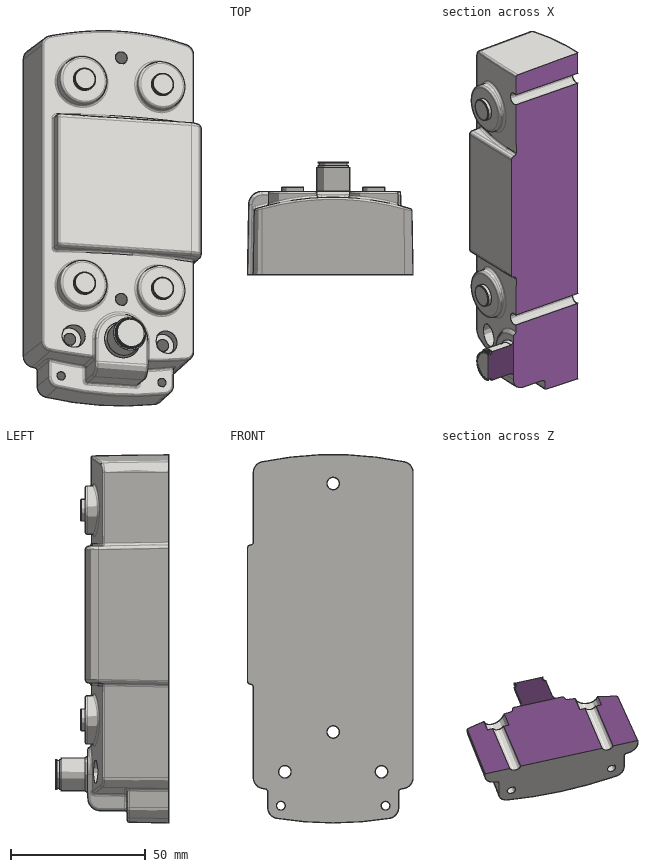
import cadquery as cq
import math

HEIGHT = 136.6
DRAFT = 1.0
EDGE_ROUND = 0.8
INNER_ROUND = 1.0
BAND_END_ROUND = 1.4
CORNER_ROUND = 4.1
END_ARC_RADIUS = 129.8

SHELL_HALF_WIDTH = 29.6
SHELL_BOTTOM = 10.1
CROWN_TOP = 28.8
CROWN_RADIUS = 98.4
BLANK_DEPTH = 34.2

TAB_HALF_WIDTH = 24.3
TAB_DEPTH = 15.5
TAB_TOP = 27.3

BAND_LEFT = 31.8
BAND_RIGHT = 25.5
BAND_BOTTOM = 51.4
BAND_TOP = 103.2
BAND_DEPTH = 31.0
BAND_SHOULDER_ROUND = 5.0

CONNECTOR_Z = 18.0
PAD_RADIUS = 10.1
PAD_BOTTOM = 4.5
PAD_DEPTH = 30.0
PAD_NOSE_ROUND = 4.8

BUTTON_X = 15.0
BUTTON_ROWS = (38.3, 116.0)
BOSS_RADIUS = 9.0
BOSS_DEPTH = BAND_DEPTH
BUTTON_RADIUS = 4.1
BUTTON_HEIGHT = 1.6
BUTTON_CHAMFER = 0.3

CONNECTOR_RADIUS = 6.1
CONNECTOR_FOOT_RADIUS = 6.8
CONNECTOR_FOOT_HEIGHT = 1.1
CONNECTOR_NECK_RADIUS = 5.6
CONNECTOR_GROOVE_RADIUS = 5.2
SHOULDER_Y = 39.9
GROOVE_START_Y = 40.6
GROOVE_END_Y = 41.5
CONNECTOR_END_Y = 42.0

SCREW_HOLE_DIAMETER = 4.5
CENTRE_HOLES = [(0, 33.7), (0, 125.8)]
SIDE_HOLES = [(-17.9, 19.0), (17.9, 19.0)]
HEAD_RECESS_DIAMETER = 8.5
HEAD_RECESS_FLOOR = 21.9
TAB_HOLE_DIAMETER = 3.1
TAB_HOLES = [(-19.4, 6.4), (19.4, 6.4)]

TAB_NOTCH = (-TAB_HALF_WIDTH, TAB_DEPTH / 2, SHELL_BOTTOM + CORNER_ROUND / 2)
PAD_FOOT = (0, TAB_DEPTH, PAD_BOTTOM)
BAND_STEP = (-SHELL_HALF_WIDTH, 0.4 * CROWN_TOP, BAND_BOTTOM)

BUTTON_CENTRES = [(x, z) for z in BUTTON_ROWS for x in (-BUTTON_X, BUTTON_X)]


def depth_plane(y):
    """Plane at depth y that extrudes toward +Y; its local axes are -X and Z."""
    return cq.Workplane(cq.Plane(origin=(0, y, 0), xDir=(-1, 0, 0), normal=(0, 1, 0)))


def arc_sag(half_width):
    """Drop of an end arc at a distance from the centre line."""
    return END_ARC_RADIUS - math.sqrt(END_ARC_RADIUS**2 - half_width**2)


def round_bar(radius, start_y, end_y, x, z):
    return depth_plane(start_y).center(-x, z).circle(radius).extrude(end_y - start_y)


def around(x, z, half_x, half_z, y_min, y_max):
    """Selector for the edges whose centres lie near a point of the outline."""
    return cq.selectors.BoxSelector(
        (x - half_x, y_min, z - half_z), (x + half_x, y_max, z + half_z)
    )


def crowned_shell():
    side_top = HEIGHT - arc_sag(SHELL_HALF_WIDTH)
    side_bottom = SHELL_BOTTOM + arc_sag(SHELL_HALF_WIDTH)
    outline = (
        cq.Sketch()
        .segment((-SHELL_HALF_WIDTH, side_bottom), (-SHELL_HALF_WIDTH, side_top))
        .arc((-SHELL_HALF_WIDTH, side_top), (0, HEIGHT), (SHELL_HALF_WIDTH, side_top))
        .segment((SHELL_HALF_WIDTH, side_top), (SHELL_HALF_WIDTH, side_bottom))
        .arc((SHELL_HALF_WIDTH, side_bottom), (0, SHELL_BOTTOM), (-SHELL_HALF_WIDTH, side_bottom))
        .assemble()
        .vertices()
        .fillet(CORNER_ROUND)
    )
    blank = depth_plane(0).placeSketch(outline).extrude(BLANK_DEPTH, taper=DRAFT)
    crown = (
        cq.Workplane("XY").center(0, CROWN_TOP - CROWN_RADIUS).circle(CROWN_RADIUS).extrude(HEIGHT)
    )
    return blank.intersect(crown).faces("%CYLINDER").edges().fillet(EDGE_ROUND)


def add_boss(shell, x, z):
    boss = round_bar(BOSS_RADIUS, TAB_DEPTH, BOSS_DEPTH, x, z)
    boss = boss.faces(">Y").edges().fillet(EDGE_ROUND)
    joined = shell.union(boss)
    reach = BOSS_RADIUS + EDGE_ROUND
    foot = around(x, z, reach, reach, TAB_DEPTH, CROWN_TOP)
    foot_edges = [
        e for e in joined.edges(foot).vals() if e.geomType() not in ("LINE", "CIRCLE")
    ]
    return joined.newObject(foot_edges).fillet(EDGE_ROUND)


def foot_tab():
    side_bottom = arc_sag(TAB_HALF_WIDTH)
    outline = (
        cq.Sketch()
        .segment((-TAB_HALF_WIDTH, TAB_TOP), (-TAB_HALF_WIDTH, side_bottom))
        .arc((-TAB_HALF_WIDTH, side_bottom), (0, 0), (TAB_HALF_WIDTH, side_bottom))
        .segment((TAB_HALF_WIDTH, side_bottom), (TAB_HALF_WIDTH, TAB_TOP))
        .close()
        .assemble()
        .vertices()
        .fillet(CORNER_ROUND)
    )
    tab = depth_plane(0).placeSketch(outline).extrude(TAB_DEPTH, taper=DRAFT)
    return tab.faces(">Y").edges().fillet(EDGE_ROUND)


def side_band():
    band = (
        depth_plane(0)
        .center((BAND_LEFT - BAND_RIGHT) / 2, (BAND_TOP + BAND_BOTTOM) / 2)
        .rect(BAND_LEFT + BAND_RIGHT, BAND_TOP - BAND_BOTTOM)
        .extrude(BAND_DEPTH, taper=DRAFT)
    )
    band = band.faces(">Y").edges("<X").fillet(BAND_SHOULDER_ROUND)
    end_faces = band.faces("<Z or >Z")
    rims = end_faces.edges("not <Y").edges("not >X")
    return rims.fillet(BAND_END_ROUND).faces(">Y").edges(">X").fillet(EDGE_ROUND)


def connector_pad():
    pad = (
        depth_plane(0)
        .moveTo(-PAD_RADIUS, PAD_BOTTOM)
        .lineTo(-PAD_RADIUS, CONNECTOR_Z)
        .threePointArc((0, CONNECTOR_Z + PAD_RADIUS), (PAD_RADIUS, CONNECTOR_Z))
        .lineTo(PAD_RADIUS, PAD_BOTTOM)
        .close()
        .extrude(PAD_DEPTH)
    )
    pad = pad.faces(">Y").edges("<Z").fillet(PAD_NOSE_ROUND)
    return pad.faces("<X").edges("not <Y").fillet(EDGE_ROUND)


def blend(body, point):
    """Round the inner corner edge nearest to the point, with every edge smoothly joined to it."""
    return body.edges(cq.selectors.NearestToPointSelector(point)).fillet(INNER_ROUND)


def drill(housing):
    for centres, diameter in (
        (CENTRE_HOLES, SCREW_HOLE_DIAMETER),
        (SIDE_HOLES, SCREW_HOLE_DIAMETER),
        (TAB_HOLES, TAB_HOLE_DIAMETER),
    ):
        for x, z in centres:
            housing = housing.cut(round_bar(diameter / 2, 0, BLANK_DEPTH, x, z))
    for x, z in SIDE_HOLES:
        housing = housing.cut(
            round_bar(HEAD_RECESS_DIAMETER / 2, HEAD_RECESS_FLOOR, BLANK_DEPTH, x, z)
        )
    return housing


def make_housing():
    shell = crowned_shell()
    for x, z in BUTTON_CENTRES:
        shell = add_boss(shell, x, z)
    shell = blend(shell.union(foot_tab()), TAB_NOTCH)
    shell = blend(shell.union(connector_pad()), PAD_FOOT)
    shell = blend(shell.union(side_band()), BAND_STEP)
    return drill(shell)


def make_button(x, z):
    button = round_bar(BUTTON_RADIUS, BOSS_DEPTH, BOSS_DEPTH + BUTTON_HEIGHT, x, z)
    return button.faces(">Y").chamfer(BUTTON_CHAMFER)


def make_connector():
    profile = [
        (0, PAD_DEPTH),
        (CONNECTOR_FOOT_RADIUS, PAD_DEPTH),
        (CONNECTOR_RADIUS, PAD_DEPTH + CONNECTOR_FOOT_HEIGHT),
        (CONNECTOR_RADIUS, SHOULDER_Y),
        (CONNECTOR_NECK_RADIUS, SHOULDER_Y),
        (CONNECTOR_NECK_RADIUS, GROOVE_START_Y),
        (CONNECTOR_GROOVE_RADIUS, GROOVE_START_Y),
        (CONNECTOR_GROOVE_RADIUS, GROOVE_END_Y),
        (CONNECTOR_NECK_RADIUS, GROOVE_END_Y),
        (CONNECTOR_NECK_RADIUS, CONNECTOR_END_Y),
        (0, CONNECTOR_END_Y),
    ]
    turned = cq.Workplane("XY").polyline(profile).close().revolve(360, (0, 0, 0), (0, 1, 0))
    return turned.translate((0, 0, CONNECTOR_Z))


housing = make_housing()
buttons = [make_button(x, z) for x, z in BUTTON_CENTRES]
connector = make_connector()

result = cq.Compound.makeCompound(
    [housing.val(), *[button.val() for button in buttons], connector.val()]
)